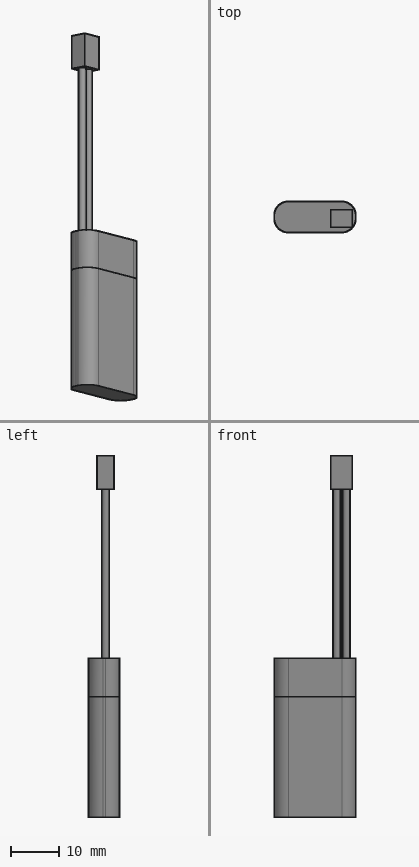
import cadquery as cq

pack_width = 17.0
pack_depth = 6.5
corner_radius = 3.0
cell_height = 25.0
cap_height = 8.0

lead_diameter = 1.6
lead_pitch = 2.0
lead_length = 35.0
lead_pair_x = 5.5
lead_pair_y = -0.3

plug_width = 4.5
plug_depth = 3.6
plug_height = 7.0

cap_base = cell_height
cap_top = cap_base + cap_height
plug_base = cap_top + lead_length


def rounded_block(base, height):
    """Upright block with the pack outline and rounded vertical edges."""
    return (
        cq.Workplane("XY", origin=(0, 0, base))
        .rect(pack_width, pack_depth)
        .extrude(height)
        .edges("|Z")
        .fillet(corner_radius)
    )


def lead(x):
    """One straight round lead from the cap up to the plug."""
    return (
        cq.Workplane("XY", origin=(x, lead_pair_y, cap_top))
        .circle(lead_diameter / 2)
        .extrude(lead_length)
    )


def plug():
    """Rectangular plug centred across the pair of leads."""
    return (
        cq.Workplane("XY", origin=(lead_pair_x, lead_pair_y, plug_base))
        .rect(plug_width, plug_depth)
        .extrude(plug_height)
    )


def make_cell():
    """Lower body of the pack."""
    return rounded_block(0, cell_height)


def make_wired_cap():
    """Cap on the cell, in one piece with its leads and plug."""
    cap = rounded_block(cap_base, cap_height)
    for side in (-1, 1):
        cap = cap.union(lead(lead_pair_x + side * lead_pitch / 2))
    return cap.union(plug())


cell = make_cell()
wired_cap = make_wired_cap()

result = cq.Compound.makeCompound([cell.val(), *wired_cap.solids().vals()])